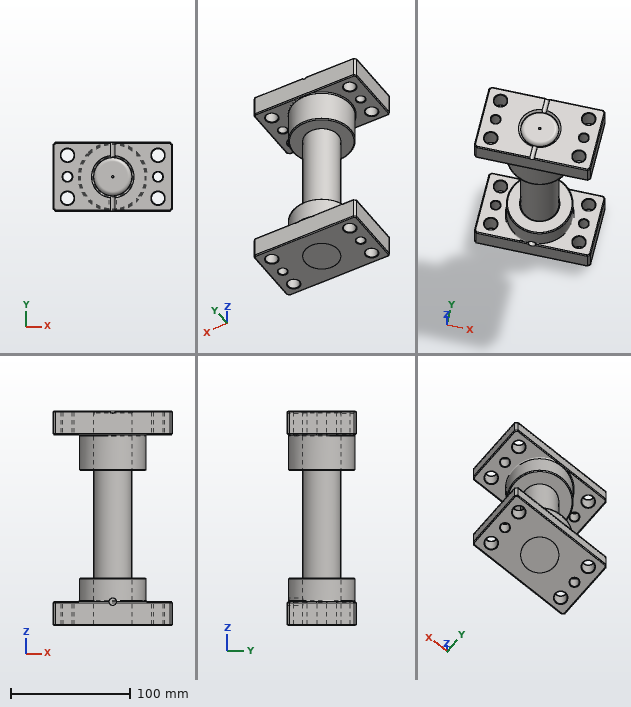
import cadquery as cq
import math

TOTAL_HEIGHT = 180.0
PLATE_LENGTH = 100.0
PLATE_WIDTH = 58.0
PLATE_THICKNESS = 20.0
CORNER_CHAMFER = 2.0
EDGE_CHAMFER = 0.9

HUB_RADIUS = 56.0 / 2
UPPER_HUB_HEIGHT = 30.0
LOWER_HUB_HEIGHT = 20.0
HUB_FILLET = 0.9

SHAFT_RADIUS = 32.0 / 2
SHAFT_FILLET = 3.5
CENTRE_MARK_RADIUS = 0.9
CENTRE_MARK_ANGLE = 60.0
CENTRE_MARK_DEPTH = CENTRE_MARK_RADIUS / math.tan(math.radians(CENTRE_MARK_ANGLE / 2))

HOLE_X = 38.0
SCREW_HOLE_Y = 18.0
SCREW_HOLE_DIAMETER = 11.0
DOWEL_HOLE_DIAMETER = 8.0
HOLE_CHAMFER = 0.5

UPPER_BORE_CHAMFER = 1.8
LOWER_BORE_CHAMFER = 0.9
VENT_GROOVE_RADIUS = 2.0
VENT_HOLE_RADIUS = 3.0


def make_plate():
    """Chamfered rectangular plate standing on Z = 0."""
    plate = cq.Workplane("XY").box(PLATE_LENGTH, PLATE_WIDTH, PLATE_THICKNESS, centered=(True, True, False))
    plate = plate.edges("|Z").chamfer(CORNER_CHAMFER)
    return plate.faces("<Z or >Z").edges().chamfer(EDGE_CHAMFER)


def make_hub(height):
    """Round hub rising from the plate, with a concave fillet at its foot."""
    top = PLATE_THICKNESS + height
    foot_radius = HUB_RADIUS + HUB_FILLET
    arc_offset = HUB_FILLET * (1 - math.sqrt(0.5))
    hub = (
        cq.Workplane("XZ")
        .moveTo(0, 0)
        .lineTo(HUB_RADIUS, 0)
        .lineTo(HUB_RADIUS, PLATE_THICKNESS)
        .lineTo(foot_radius, PLATE_THICKNESS)
        .threePointArc(
            (HUB_RADIUS + arc_offset, PLATE_THICKNESS + arc_offset),
            (HUB_RADIUS, PLATE_THICKNESS + HUB_FILLET),
        )
        .lineTo(HUB_RADIUS, top - EDGE_CHAMFER)
        .lineTo(HUB_RADIUS - EDGE_CHAMFER, top)
        .lineTo(0, top)
        .close()
        .revolve(360, (0, 0, 0), (0, 1, 0))
    )
    face_width = PLATE_WIDTH - 2 * EDGE_CHAMFER
    return hub.intersect(cq.Workplane("XY").box(PLATE_LENGTH, face_width, top, centered=(True, True, False)))


def make_hole_cutter(x, y, diameter):
    """Cutter for a through hole chamfered on both plate faces."""
    cutter = cq.Workplane("XY").center(x, y).circle(diameter / 2).extrude(PLATE_THICKNESS)
    countersunk_radius = diameter / 2 + HOLE_CHAMFER
    for base, direction in ((0, 1), (PLATE_THICKNESS, -1)):
        cone = cq.Solid.makeCone(
            countersunk_radius, diameter / 2, HOLE_CHAMFER, cq.Vector(x, y, base), cq.Vector(0, 0, direction)
        )
        cutter = cutter.union(cq.Workplane(cone))
    return cutter


def make_bored_block(hub_height):
    """Plate and hub in one piece, hub upward, with plate holes and a shaft bore."""
    block = make_plate().union(make_hub(hub_height))
    for x in (-HOLE_X, HOLE_X):
        block = block.cut(make_hole_cutter(x, 0, DOWEL_HOLE_DIAMETER))
        for y in (-SCREW_HOLE_Y, SCREW_HOLE_Y):
            block = block.cut(make_hole_cutter(x, y, SCREW_HOLE_DIAMETER))
    bore = cq.Workplane("XY").circle(SHAFT_RADIUS).extrude(PLATE_THICKNESS + hub_height)
    return block.cut(bore)


def make_bore_mouth(z, chamfer):
    """Cone that chamfers a bore mouth opening upward at height z."""
    cone = cq.Solid.makeCone(
        SHAFT_RADIUS + chamfer, SHAFT_RADIUS, chamfer, cq.Vector(0, 0, z), cq.Vector(0, 0, -1)
    )
    return cq.Workplane(cone)


def make_upper_block():
    """Upper block, hub downward, with a vent groove along Y in its top face."""
    block = make_bored_block(UPPER_HUB_HEIGHT)
    block = block.rotate((0, 0, 0), (1, 0, 0), 180).translate((0, 0, TOTAL_HEIGHT))
    groove = (
        cq.Workplane("XZ")
        .moveTo(-VENT_GROOVE_RADIUS, TOTAL_HEIGHT)
        .threePointArc((0, TOTAL_HEIGHT - VENT_GROOVE_RADIUS), (VENT_GROOVE_RADIUS, TOTAL_HEIGHT))
        .close()
        .extrude(PLATE_WIDTH / 2, both=True)
    )
    return block.cut(groove).cut(make_bore_mouth(TOTAL_HEIGHT, UPPER_BORE_CHAMFER))


def make_lower_block():
    """Lower block, hub upward, with one vent hole from its -Y side into the bore."""
    block = make_bored_block(LOWER_HUB_HEIGHT)
    block = block.cut(make_bore_mouth(PLATE_THICKNESS + LOWER_HUB_HEIGHT, LOWER_BORE_CHAMFER))
    vent = cq.Workplane("XZ").center(0, PLATE_THICKNESS).circle(VENT_HOLE_RADIUS).extrude(PLATE_WIDTH / 2)
    return block.cut(vent)


def make_shaft():
    """Shaft through both blocks, rounded at the top around a conical centre mark."""
    shaft = cq.Workplane("XY").circle(SHAFT_RADIUS).extrude(TOTAL_HEIGHT)
    shaft = shaft.faces(">Z").edges().fillet(SHAFT_FILLET)
    mark = cq.Solid.makeCone(
        CENTRE_MARK_RADIUS, 0, CENTRE_MARK_DEPTH, cq.Vector(0, 0, TOTAL_HEIGHT), cq.Vector(0, 0, -1)
    )
    return shaft.cut(cq.Workplane(mark))


upper_block = make_upper_block()
lower_block = make_lower_block()
shaft = make_shaft()

result = cq.Compound.makeCompound([body.solids().val() for body in (upper_block, lower_block, shaft)])